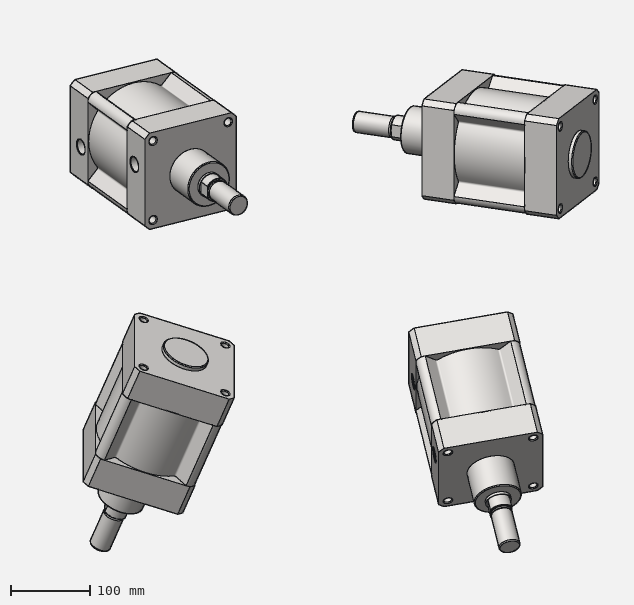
import cadquery as cq
import math

TOTAL_LENGTH = 310.0
REAR_BOSS_LENGTH = 6.0
HEAD_LENGTH = 44.0
BARREL_LENGTH = 97.0
NOSE_LENGTH = 45.5

REAR_HEAD_X = REAR_BOSS_LENGTH
BARREL_X = REAR_HEAD_X + HEAD_LENGTH
FRONT_HEAD_X = BARREL_X + BARREL_LENGTH
FRONT_FACE_X = FRONT_HEAD_X + HEAD_LENGTH
NOSE_END_X = FRONT_FACE_X + NOSE_LENGTH

HEAD_SIDE = 134.0
HEAD_CORNER_RADIUS = 90.0
BOSS_RADIUS = 30.5
BOSS_CHAMFER = 1.2

BOLT_OFFSET = 55.0
BOLT_RADIUS = 5.0
BOLT_MOUTH_RADIUS = 6.2
BOLT_DEPTH = 24.8

PORT_RADIUS = 9.5
PORT_MOUTH_RADIUS = 10.5
PORT_DEPTH = 31.0
PORT_RISE = 14.5
PORT_FROM_BARREL = 17.7

BARREL_RADIUS = 65.7
LOBE_RADIUS = HEAD_SIDE / 2 - BOLT_OFFSET
LOBE_ROOT_FILLET = 2.5

COLLAR_RADIUS = 16.5
WRENCH_RADIUS = 15.8
WRENCH_CHAMFER = 0.5
THREAD_RADIUS = 13.5
WRENCH_FLAT_WIDTH = 2 * THREAD_RADIUS
RELIEF_SHOULDER_RADIUS = 13.3
RELIEF_RADIUS = 12.5
THREAD_CHAMFER_RADIUS = 12.7
THREAD_CHAMFER_LENGTH = 2.0
COLLAR_LENGTH = 3.7
WRENCH_LENGTH = 16.0
RELIEF_LENGTH = 3.5

CORNER_SIGNS = [(1, 1), (-1, 1), (-1, -1), (1, -1)]


def cylinder_x(radius, start_x, length):
    """Cylinder on the main axis."""
    return cq.Workplane("YZ", origin=(start_x, 0, 0)).circle(radius).extrude(length)


def countersunk_hole(origin, direction, radius, mouth_radius, depth):
    """Blind hole cutter with a 45 degree countersink at its mouth."""
    mouth = cq.Vector(*origin)
    axis = cq.Vector(*direction)
    bore = cq.Solid.makeCylinder(radius, depth, mouth, axis)
    sink = cq.Solid.makeCone(mouth_radius, radius, mouth_radius - radius, mouth, axis)
    return bore.fuse(sink)


def head_block(start_x):
    """Square head with its four corners turned to a common circle."""
    block = cq.Workplane("YZ", origin=(start_x, 0, 0)).rect(HEAD_SIDE, HEAD_SIDE).extrude(HEAD_LENGTH)
    return block.intersect(cylinder_x(HEAD_CORNER_RADIUS, start_x, HEAD_LENGTH))


def cut_bolt_holes(head, face_x, inward):
    """Mounting holes in the outer face of a head; inward is the drilling direction along X."""
    for y_sign, z_sign in CORNER_SIGNS:
        origin = (face_x, y_sign * BOLT_OFFSET, z_sign * BOLT_OFFSET)
        head = head.cut(countersunk_hole(origin, (inward, 0, 0), BOLT_RADIUS, BOLT_MOUTH_RADIUS, BOLT_DEPTH))
    return head


def cut_port(head, x, z):
    """Air port in the -Y side of a head."""
    origin = (x, -HEAD_SIDE / 2, z)
    return head.cut(countersunk_hole(origin, (0, 1, 0), PORT_RADIUS, PORT_MOUTH_RADIUS, PORT_DEPTH))


def make_rear_head():
    boss = cylinder_x(BOSS_RADIUS, 0, REAR_BOSS_LENGTH).faces("<X").chamfer(BOSS_CHAMFER)
    head = head_block(REAR_HEAD_X).union(boss)
    head = cut_bolt_holes(head, REAR_HEAD_X, 1)
    return cut_port(head, BARREL_X - PORT_FROM_BARREL, -PORT_RISE)


def make_front_head():
    nose = cylinder_x(BOSS_RADIUS, FRONT_FACE_X, NOSE_LENGTH).faces(">X").chamfer(BOSS_CHAMFER)
    head = head_block(FRONT_HEAD_X).union(nose)
    head = cut_bolt_holes(head, FRONT_FACE_X, -1)
    return cut_port(head, FRONT_HEAD_X + PORT_FROM_BARREL, PORT_RISE)


def make_barrel():
    """Round body with a lobe at each corner.

    Each lobe has a quarter-round outside, concentric with the mounting hole, and
    two parallel flanks that run at 45 degrees into the round body through a
    concave root fillet.
    """
    lobe_edge = BOLT_OFFSET + LOBE_RADIUS
    lobe_crest = BOLT_OFFSET + LOBE_RADIUS / math.sqrt(2)

    flank_gap = LOBE_RADIUS + LOBE_ROOT_FILLET * math.sqrt(2)
    centre_distance = BARREL_RADIUS + LOBE_ROOT_FILLET
    centre_z = (math.sqrt(2 * centre_distance**2 - flank_gap**2) - flank_gap) / 2
    centre_y = centre_z + flank_gap

    flank_shift = LOBE_ROOT_FILLET / math.sqrt(2)
    flank_end = (centre_y - flank_shift, centre_z + flank_shift)
    body_scale = BARREL_RADIUS / centre_distance
    body_end = (centre_y * body_scale, centre_z * body_scale)
    middle_y = (flank_end[0] + body_end[0]) / 2 - centre_y
    middle_z = (flank_end[1] + body_end[1]) / 2 - centre_z
    middle_scale = LOBE_ROOT_FILLET / math.hypot(middle_y, middle_z)
    fillet_middle = (centre_y + middle_y * middle_scale, centre_z + middle_z * middle_scale)

    barrel = cylinder_x(BARREL_RADIUS, BARREL_X, BARREL_LENGTH)
    for quarter in range(4):
        lobe = (
            cq.Workplane("YZ", origin=(BARREL_X, 0, 0))
            .lineTo(*body_end)
            .threePointArc(fillet_middle, flank_end)
            .lineTo(lobe_edge, BOLT_OFFSET)
            .threePointArc((lobe_crest, lobe_crest), (BOLT_OFFSET, lobe_edge))
            .lineTo(*reversed(flank_end))
            .threePointArc(tuple(reversed(fillet_middle)), tuple(reversed(body_end)))
            .close()
            .extrude(BARREL_LENGTH)
        )
        barrel = barrel.union(lobe.rotate((0, 0, 0), (1, 0, 0), 90 * quarter))
    return barrel


def make_piston_rod():
    """Turned rod end: collar, wrench section with two flats, thread relief and thread."""
    collar_end = NOSE_END_X + COLLAR_LENGTH
    wrench_end = collar_end + WRENCH_LENGTH
    relief_end = wrench_end + RELIEF_LENGTH
    thread_end = TOTAL_LENGTH - THREAD_CHAMFER_LENGTH
    rod = (
        cq.Workplane("XY")
        .moveTo(NOSE_END_X, 0)
        .lineTo(NOSE_END_X, COLLAR_RADIUS)
        .lineTo(collar_end, COLLAR_RADIUS)
        .lineTo(collar_end, WRENCH_RADIUS)
        .lineTo(wrench_end - WRENCH_CHAMFER, WRENCH_RADIUS)
        .lineTo(wrench_end, WRENCH_RADIUS - WRENCH_CHAMFER)
        .lineTo(wrench_end, RELIEF_SHOULDER_RADIUS)
        .lineTo(wrench_end + RELIEF_LENGTH / 2, RELIEF_RADIUS)
        .lineTo(relief_end, THREAD_RADIUS)
        .lineTo(thread_end, THREAD_RADIUS)
        .lineTo(TOTAL_LENGTH, THREAD_CHAMFER_RADIUS)
        .lineTo(TOTAL_LENGTH, 0)
        .close()
        .revolve(360, (0, 0, 0), (1, 0, 0))
    )
    flat_centre_x = (collar_end + wrench_end) / 2
    for side in (-1, 1):
        cutter_y = side * (WRENCH_FLAT_WIDTH + COLLAR_RADIUS) / 2
        cutter = cq.Workplane("XY", origin=(flat_centre_x, cutter_y, 0))
        rod = rod.cut(cutter.box(WRENCH_LENGTH, COLLAR_RADIUS, 2 * COLLAR_RADIUS))
    return rod


rear_head = make_rear_head()
barrel = make_barrel()
front_head = make_front_head()
piston_rod = make_piston_rod()

result = cq.Compound.makeCompound([rear_head.val(), barrel.val(), front_head.val(), piston_rod.val()])